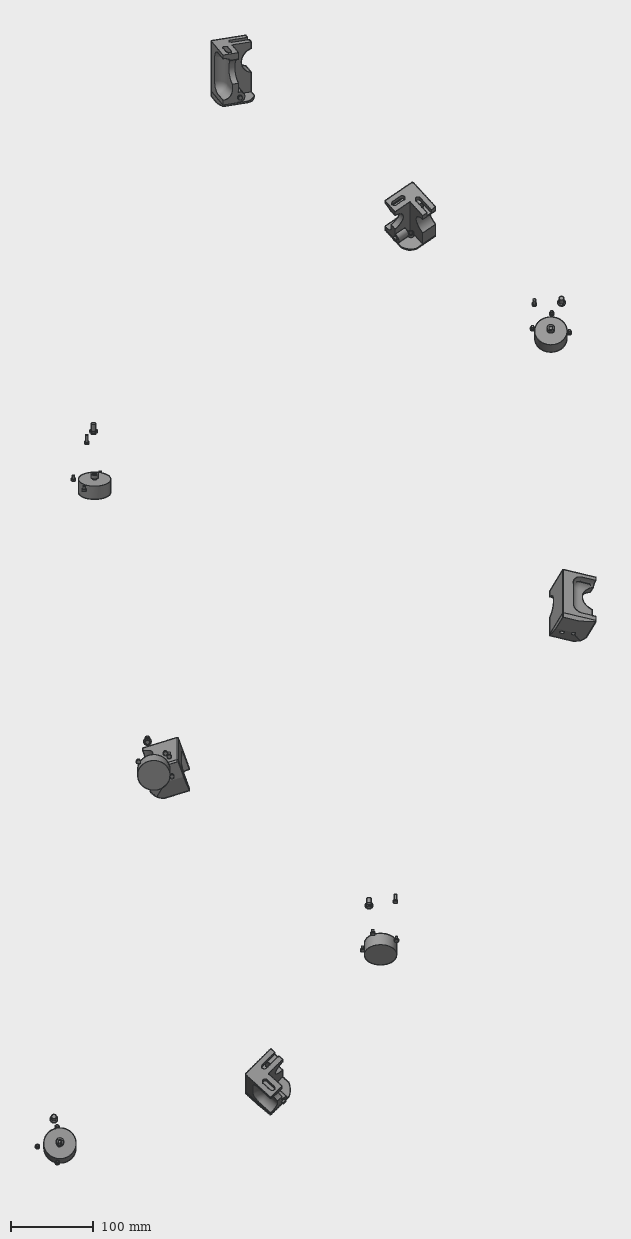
import cadquery as cq


DISC_DIAMETER = 39.0
DISC_HEIGHT = 18.0
SPINDLE_HEAD_DIAMETER = 9.0
SPINDLE_NECK_DIAMETER = 5.0
SPINDLE_DIMPLE_DIAMETER = 5.0
SPINDLE_DIMPLE_DEPTH = 1.5
SPINDLE_SOCKET_DEPTH = 7.0
SPINDLE_GAP = 2.0
SPINDLE_HEAD_HEIGHT = 5.0

STUD_FLANGE_DIAMETER = 5.5
STUD_STEM_DIAMETER = 3.0
STUD_BOTTOM = 11.5
STUD_FLANGE_HEIGHT = 2.0
STUD_STEM_HEIGHT = 4.0
STUD_POSITIONS = [(-18.0, 13.5), (-18.0, -21.0), (13.5, -18.5)]

SCREW_HEAD_BOTTOM = 74.0
SCREW_HEAD_HEIGHT = 2.0
SCREW_STEM_LENGTH = 9.0
LARGE_SCREW_POSITION = (-13.5, 3.5)
LARGE_HEAD_DIAMETER = 9.0
LARGE_STEM_DIAMETER = 6.0
LARGE_BUTTON_DIAMETER = 6.0
LARGE_BUTTON_HEIGHT = 2.0
SMALL_SCREW_POSITION = (13.5, -15.0)
SMALL_HEAD_DIAMETER = 5.5
SMALL_STEM_DIAMETER = 3.4

BRACKET_LEFT = 257.0
BRACKET_FRONT = 56.0
BRACKET_TOP = 714
BRACKET_WIDTH = 43.0
BRACKET_DEPTH = 45.0
BRACKET_HEIGHT = 74.0
BRACKET_RIGHT = BRACKET_LEFT + BRACKET_WIDTH
BRACKET_BACK = BRACKET_FRONT + BRACKET_DEPTH
BRACKET_BOTTOM = BRACKET_TOP - BRACKET_HEIGHT
ARM_THICKNESS = 20.0
CORNER_CHAMFER = 1.0

BASE_THICKNESS = 7.0
BASE_EDGE_THICKNESS = 2.0
BASE_TAPER_LENGTH = 21.5
BASE_TOP = BRACKET_BOTTOM + BASE_THICKNESS
BASE_ARC_RADIUS = 25.0
BASE_ARC_INSET = 23.0

NOTCH_RADIUS = 16.5
NOTCH_DEPTH = 13.0
NOTCH_Z = 689.0

POCKET_LEFT = BRACKET_LEFT + 13.5
POCKET_BOTTOM = 653.0
POCKET_TOP = 709.0
POCKET_DEPTH = 12.0
POCKET_FILLET = 11.5

SLOT_WIDTH = 6.5
SLOT_DEPTH = 7.0
SIDE_SLOT_X = BRACKET_LEFT + 10.0
SIDE_SLOT_LENGTH = 25.0
FRONT_SLOT_Y = BRACKET_FRONT + 10.0
FRONT_SLOT_LENGTH = 18.5
FRONT_SLOT_END_GAP = 3.5
SIDE_HOLE_DIAMETER = 6.0
SIDE_HOLE_Y = 85.0

POST_DIAMETER = 7.0
POST_HOLE_DIAMETER = 5.0
POST_X = 280.5
POST_Y = 82.0
POST_HEIGHT = 6.0

BARREL_DIAMETER = 13.5
BARREL_START = 285.0
BARREL_Y = 77.0
BARREL_Z = 654.0
PIN_DIAMETER = 5.5
PIN_DEPTH = 7.0
PIN_PROTRUSION = 3.0


def cylinder(x, y, bottom, diameter, height):
    """Upright cylinder standing at the given height."""
    return cq.Workplane("XY", origin=(x, y, bottom)).circle(diameter / 2).extrude(height)


def block(x, y, z, length, depth, height):
    """Box given by its lowest corner."""
    return cq.Workplane("XY", origin=(x, y, z)).box(length, depth, height, centered=False)


def make_disc():
    disc = cylinder(0, 0, 0, DISC_DIAMETER, DISC_HEIGHT)
    socket = cylinder(
        0, 0, DISC_HEIGHT - SPINDLE_SOCKET_DEPTH, SPINDLE_NECK_DIAMETER, SPINDLE_SOCKET_DEPTH
    )
    return disc.cut(socket)


def make_spindle():
    neck_length = SPINDLE_SOCKET_DEPTH + SPINDLE_GAP
    neck = cylinder(0, 0, DISC_HEIGHT - SPINDLE_SOCKET_DEPTH, SPINDLE_NECK_DIAMETER, neck_length)
    head_bottom = DISC_HEIGHT + SPINDLE_GAP
    head = cylinder(0, 0, head_bottom, SPINDLE_HEAD_DIAMETER, SPINDLE_HEAD_HEIGHT)
    dimple_bottom = head_bottom + SPINDLE_HEAD_HEIGHT - SPINDLE_DIMPLE_DEPTH
    dimple = cylinder(0, 0, dimple_bottom, SPINDLE_DIMPLE_DIAMETER, SPINDLE_DIMPLE_DEPTH)
    return neck.union(head).cut(dimple)


def make_headed_stem(position, bottom, head_diameter, head_height, stem_diameter, stem_length):
    """Round head at the bottom with a thinner stem pointing up."""
    head = cylinder(*position, bottom, head_diameter, head_height)
    stem = cylinder(*position, bottom + head_height, stem_diameter, stem_length)
    return head.union(stem)


def make_stud(position):
    return make_headed_stem(
        position,
        STUD_BOTTOM,
        STUD_FLANGE_DIAMETER,
        STUD_FLANGE_HEIGHT,
        STUD_STEM_DIAMETER,
        STUD_STEM_HEIGHT,
    )


def make_large_screw():
    screw = make_headed_stem(
        LARGE_SCREW_POSITION,
        SCREW_HEAD_BOTTOM,
        LARGE_HEAD_DIAMETER,
        SCREW_HEAD_HEIGHT,
        LARGE_STEM_DIAMETER,
        SCREW_STEM_LENGTH,
    )
    button_bottom = SCREW_HEAD_BOTTOM - LARGE_BUTTON_HEIGHT
    button = cylinder(
        *LARGE_SCREW_POSITION, button_bottom, LARGE_BUTTON_DIAMETER, LARGE_BUTTON_HEIGHT
    )
    return screw.union(button)


def make_small_screw():
    return make_headed_stem(
        SMALL_SCREW_POSITION,
        SCREW_HEAD_BOTTOM,
        SMALL_HEAD_DIAMETER,
        SCREW_HEAD_HEIGHT,
        SMALL_STEM_DIAMETER,
        SCREW_STEM_LENGTH,
    )


def side_hole():
    """Hole running down the side arm and the base below it."""
    return cylinder(SIDE_SLOT_X, SIDE_HOLE_Y, BRACKET_BOTTOM, SIDE_HOLE_DIAMETER, BRACKET_HEIGHT)


def corner_chamfer(bracket_body):
    """Break the upright outer corner where the arms meet."""
    return bracket_body.edges("|Z and <X and <Y").chamfer(CORNER_CHAMFER)


def arm_notches():
    """Two crossing cylinders that bite into the free ends of the arms."""
    beyond_end = NOTCH_RADIUS - NOTCH_DEPTH
    front_arm_notch = (
        cq.Workplane("XZ", origin=(BRACKET_RIGHT + beyond_end, BRACKET_BACK, NOTCH_Z))
        .circle(NOTCH_RADIUS)
        .extrude(BRACKET_DEPTH)
    )
    side_arm_notch = (
        cq.Workplane("YZ", origin=(BRACKET_LEFT, BRACKET_BACK + beyond_end, NOTCH_Z))
        .circle(NOTCH_RADIUS)
        .extrude(BRACKET_WIDTH)
    )
    return front_arm_notch.union(side_arm_notch)


def front_pocket():
    """Pocket in the front arm, open to the front and to the free end."""
    past_end = POCKET_FILLET
    length = BRACKET_RIGHT + past_end - POCKET_LEFT
    height = POCKET_TOP - POCKET_BOTTOM
    pocket = block(POCKET_LEFT, BRACKET_FRONT, POCKET_BOTTOM, length, POCKET_DEPTH, height)
    return pocket.edges("(|Y and <X) or (>Y and (not >X))").fillet(POCKET_FILLET)


def top_slots():
    slot_bottom = BRACKET_TOP - SLOT_DEPTH
    side_slot_length = 2 * SIDE_SLOT_LENGTH
    side_slot = (
        cq.Workplane("XY", origin=(SIDE_SLOT_X, BRACKET_BACK, slot_bottom))
        .slot2D(side_slot_length, SLOT_WIDTH, 90)
        .extrude(SLOT_DEPTH)
    )
    front_slot_x = BRACKET_RIGHT - FRONT_SLOT_END_GAP - FRONT_SLOT_LENGTH / 2
    front_slot = (
        cq.Workplane("XY", origin=(front_slot_x, FRONT_SLOT_Y, slot_bottom))
        .slot2D(FRONT_SLOT_LENGTH, SLOT_WIDTH)
        .extrude(SLOT_DEPTH)
    )
    return side_slot.union(front_slot)


def barrel_cylinder(start_x, diameter, length):
    """Cylinder along X on the axis of the barrel."""
    return (
        cq.Workplane("YZ", origin=(start_x, BARREL_Y, BARREL_Z))
        .circle(diameter / 2)
        .extrude(length)
    )


def make_housing():
    height = BRACKET_TOP - BASE_TOP
    side_arm = block(BRACKET_LEFT, BRACKET_FRONT, BASE_TOP, ARM_THICKNESS, BRACKET_DEPTH, height)
    front_arm = block(BRACKET_LEFT, BRACKET_FRONT, BASE_TOP, BRACKET_WIDTH, ARM_THICKNESS, height)
    housing = corner_chamfer(side_arm.union(front_arm))
    housing = housing.cut(arm_notches()).cut(top_slots()).cut(side_hole())
    barrel = barrel_cylinder(BARREL_START, BARREL_DIAMETER, BRACKET_RIGHT - BARREL_START)
    pin_socket = barrel_cylinder(BRACKET_RIGHT - PIN_DEPTH, PIN_DIAMETER, PIN_DEPTH)
    return housing.union(barrel).cut(front_pocket()).cut(pin_socket)


def tapered_profile(plane, origin, length):
    """Side outline of the base: level underneath at first, then rising to a thin edge."""
    return (
        cq.Workplane(plane, origin=origin)
        .lineTo(length - BASE_TAPER_LENGTH, 0)
        .lineTo(length, BASE_THICKNESS - BASE_EDGE_THICKNESS)
        .lineTo(length, BASE_THICKNESS)
        .lineTo(0, BASE_THICKNESS)
        .close()
    )


def base_outline():
    """Square plate whose free corner is cut back to an arc."""
    half_chord = (BASE_ARC_RADIUS**2 - BASE_ARC_INSET**2) ** 0.5
    centre_x = BRACKET_RIGHT - BASE_ARC_INSET
    centre_y = BRACKET_BACK - BASE_ARC_INSET
    diagonal = BASE_ARC_RADIUS / 2**0.5
    return (
        cq.Workplane("XY", origin=(0, 0, BRACKET_BOTTOM))
        .moveTo(BRACKET_LEFT, BRACKET_FRONT)
        .lineTo(BRACKET_RIGHT, BRACKET_FRONT)
        .lineTo(BRACKET_RIGHT, centre_y + half_chord)
        .threePointArc(
            (centre_x + diagonal, centre_y + diagonal), (centre_x + half_chord, BRACKET_BACK)
        )
        .lineTo(BRACKET_LEFT, BRACKET_BACK)
        .close()
        .extrude(BASE_THICKNESS)
    )


def make_base():
    along_x = tapered_profile(
        "XZ", (BRACKET_LEFT, BRACKET_BACK, BRACKET_BOTTOM), BRACKET_WIDTH
    ).extrude(BRACKET_DEPTH)
    along_y = tapered_profile(
        "YZ", (BRACKET_LEFT, BRACKET_FRONT, BRACKET_BOTTOM), BRACKET_DEPTH
    ).extrude(BRACKET_WIDTH)
    plate = corner_chamfer(base_outline().intersect(along_x).intersect(along_y))
    post = cylinder(POST_X, POST_Y, BASE_TOP, POST_DIAMETER, POST_HEIGHT)
    post_hole = cylinder(
        POST_X, POST_Y, BRACKET_BOTTOM, POST_HOLE_DIAMETER, BASE_THICKNESS + POST_HEIGHT
    )
    return plate.union(post).cut(post_hole).cut(side_hole())


def make_cross_pin():
    return barrel_cylinder(BRACKET_RIGHT - PIN_DEPTH, PIN_DIAMETER, PIN_DEPTH + PIN_PROTRUSION)


disc = make_disc()
spindle = make_spindle()
studs = [make_stud(position) for position in STUD_POSITIONS]
large_screw = make_large_screw()
small_screw = make_small_screw()
housing = make_housing()
base = make_base()
cross_pin = make_cross_pin()

result = cq.Compound.makeCompound(
    [
        disc.val(),
        spindle.val(),
        *[stud.val() for stud in studs],
        large_screw.val(),
        small_screw.val(),
        housing.val(),
        base.val(),
        cross_pin.val(),
    ]
)